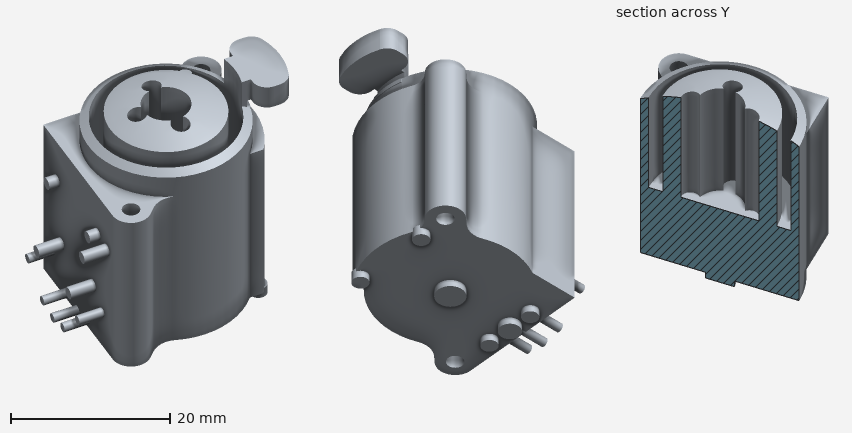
import cadquery as cq
import math


body_height = 24.0
body_radius = 10.9
front_y = -12.5
left_x = -9.5
back_radius = 12.4
back_flat_x = 7.16
ear_offset = 9.9
ear_radius = -front_y - ear_offset
ear_hole_diameter = 2.34
ear_side_fillet = 3.2
ear_back_fillet = 2.6

ring_top = 27.85
ring_inner_radius = 9.73
ring_chamfer_height = 0.65
socket_floor = 12.0
plug_radius = 7.84
plug_edge_z = 28.8
dome_radius = 22.0
key_radius = 0.75
key_distance = 7.96
key_angle = 135.0
jack_radius = 3.2
lobe_radius = 1.27
lobe_distance = 4.05
lobe_angles = (0, 180, 270)

lever_top = 31.85
tab_bottom = 28.5
tab_width = 10.0
tab_front_y = 10.68
tab_back_y = 16.09
tab_back_radius = 10.45
tab_corner_radius = 2.0
stem_width = 5.0
stem_outer_radius = 10.45
catch_outer_radius = 11.0
catch_bottom = 26.6
catch_top = ring_top - ring_chamfer_height

pin_grid = 0.635
pin_first_z = 0.5
pin_length = 3.5
post_length = 1.45
thick_pin_radius = 0.82
thin_pin_radius = 0.63
thin_pin_cells = ((-11, 7), (-4.5, 1), (0, 0), (4.5, 1), (11, 8))
thick_pin_cells = ((-7, 12), (7, 12), (13, 26))
post_cells = ((-9, 27), (9, 27))

peg_height = 1.0
peg_row_y = 10.15
small_peg_radius = 1.15
pegs = (
    (0, 0, 2.03),
    (0, -peg_row_y, 1.52),
    (-3.8, -peg_row_y, small_peg_radius),
    (3.8, -peg_row_y, small_peg_radius),
    (-5.66, peg_row_y, small_peg_radius),
    (5.66, peg_row_y, small_peg_radius),
)

overlap = 0.5


def polar(radius, degrees, center=(0, 0)):
    angle = math.radians(degrees)
    return (center[0] + radius * math.cos(angle), center[1] + radius * math.sin(angle))


def on_circle(radius, known):
    """Other coordinate of a point on a circle about the axis."""
    return math.sqrt(radius**2 - known**2)


def cylinder(radius, bottom, top, center=(0, 0)):
    return cq.Workplane("XY", origin=(*center, bottom)).circle(radius).extrude(top - bottom)


def between(start, end, fraction=0.5):
    """Point part of the way along a straight line."""
    return tuple(a + fraction * (b - a) for a, b in zip(start, end))


def toward(center, target, radius):
    """Point at a given radius from a centre, in the direction of a target."""
    return between(center, target, radius / math.dist(center, target))


def make_block():
    """Block around the barrel with two screw ears; its side notches end inside the barrel."""
    right_ear = (ear_offset, -ear_offset)
    left_ear = (-ear_offset, ear_offset)

    side_reach = math.acos((ear_radius + ear_side_fillet) / (body_radius + ear_side_fillet))
    side_angle = 45 - math.degrees(side_reach)
    side_center = polar(body_radius + ear_side_fillet, side_angle)
    flank_ear = polar(ear_radius, 45, right_ear)
    flank_fillet = polar(ear_side_fillet, 225, side_center)
    side_mid = polar(ear_side_fillet, (225 + 180 + side_angle) / 2, side_center)
    side_end = polar(body_radius, side_angle)

    ear_gap = ear_radius + ear_back_fillet
    back_gap = back_radius + ear_back_fillet
    ear_distance = ear_offset * math.sqrt(2)
    cosine = (back_gap**2 + ear_distance**2 - ear_gap**2) / (2 * back_gap * ear_distance)
    back_center = polar(back_gap, 135 - math.degrees(math.acos(cosine)))
    back_end = toward((0, 0), back_center, back_radius)
    ear_start = toward(left_ear, back_center, ear_radius)
    back_mid = toward(back_center, between(back_end, ear_start), ear_back_fillet)

    def opposite(point):
        return (-point[0], -point[1])

    outline = (
        cq.Workplane("XY")
        .moveTo(left_x, front_y)
        .lineTo(ear_offset, front_y)
        .threePointArc(polar(ear_radius, -22.5, right_ear), flank_ear)
        .lineTo(*flank_fillet)
        .threePointArc(side_mid, side_end)
        .lineTo(back_flat_x, side_end[1])
        .lineTo(back_flat_x, 0)
        .lineTo(back_flat_x, on_circle(back_radius, back_flat_x))
        .threePointArc((0, back_radius), back_end)
        .threePointArc(back_mid, ear_start)
        .threePointArc(polar(ear_radius, 135, left_ear), opposite(flank_ear))
        .lineTo(*opposite(flank_fillet))
        .threePointArc(opposite(side_mid), opposite(side_end))
        .lineTo(left_x, -side_end[1])
        .close()
    )
    ear_holes = (
        cq.Workplane("XY")
        .pushPoints([right_ear, left_ear])
        .circle(ear_hole_diameter / 2)
        .extrude(body_height)
    )
    return outline.extrude(body_height).cut(ear_holes)


def make_barrel():
    """Round barrel with a deep bore; its outer cone runs up to the edge of the bore."""
    return (
        cq.Workplane("XZ")
        .moveTo(0, 0)
        .lineTo(body_radius, 0)
        .lineTo(body_radius, ring_top - ring_chamfer_height)
        .lineTo(ring_inner_radius, ring_top)
        .lineTo(ring_inner_radius, socket_floor)
        .lineTo(0, socket_floor)
        .close()
        .revolve(360, (0, 0, 0), (0, 1, 0))
    )


def make_plug_seat():
    """Domed core with a round key on its side and a lobed jack hole."""
    dome_center_z = plug_edge_z - on_circle(dome_radius, plug_radius)
    dome_top = dome_center_z + dome_radius
    blank_top = dome_top + overlap
    bottom = socket_floor - overlap
    core = cylinder(plug_radius, bottom, blank_top)
    core = core.union(cylinder(key_radius, bottom, blank_top, polar(key_distance, key_angle)))
    dome = (
        cq.Workplane("YZ")
        .moveTo(0, bottom)
        .lineTo(ring_inner_radius, bottom)
        .lineTo(ring_inner_radius, dome_center_z + on_circle(dome_radius, ring_inner_radius))
        .threePointArc((plug_radius, plug_edge_z), (0, dome_top))
        .close()
        .revolve(360, (0, 0, 0), (0, 1, 0))
    )
    core = core.intersect(dome)

    core = core.cut(cylinder(jack_radius, socket_floor, blank_top))
    for angle in lobe_angles:
        core = core.cut(cylinder(lobe_radius, socket_floor, blank_top, polar(lobe_distance, angle)))
    return core


def arc_strip(outer_radius, bottom, top):
    """Curved strip of the stem width, from the ring bore outward, at the rear."""
    strip = cylinder(outer_radius, bottom, top).cut(cylinder(ring_inner_radius, bottom, top))
    window = cq.Workplane("XY", origin=(0, 0, bottom)).box(
        stem_width, outer_radius, top - bottom, centered=(True, False, False)
    )
    return strip.intersect(window)


def make_lever():
    tab_height = lever_top - tab_bottom
    tab_depth = tab_back_y - tab_front_y
    tab = (
        cq.Workplane("XY", origin=(0, tab_front_y, tab_bottom))
        .box(tab_width, tab_depth, tab_height, centered=(True, False, False))
        .intersect(
            cylinder(tab_back_radius, tab_bottom, lever_top, (0, tab_back_y - tab_back_radius))
        )
        .edges("|Z")
        .fillet(tab_corner_radius)
    )
    neck = arc_strip(tab_front_y + overlap, tab_bottom, lever_top)
    stem = arc_strip(stem_outer_radius, catch_bottom, lever_top)
    catch = arc_strip(catch_outer_radius, catch_bottom, catch_top)
    return tab.union(neck).union(stem).union(catch)


def make_pins(cells, radius, length):
    centers = [(column * pin_grid, pin_first_z + row * pin_grid) for column, row in cells]
    return (
        cq.Workplane("XZ", origin=(0, front_y + overlap, 0))
        .pushPoints(centers)
        .circle(radius)
        .extrude(length + overlap)
    )


def make_pegs():
    solids = cq.Workplane("XY")
    for x, y, radius in pegs:
        solids = solids.add(cylinder(radius, -peg_height, overlap, (x, y)))
    return solids.combine()


block = make_block().cut(cylinder(body_radius, 0, body_height))
result = (
    block.union(make_barrel())
    .union(make_plug_seat())
    .union(make_lever())
    .union(make_pins(thin_pin_cells, thin_pin_radius, pin_length))
    .union(make_pins(thick_pin_cells, thick_pin_radius, pin_length))
    .union(make_pins(post_cells, thick_pin_radius, post_length))
    .union(make_pegs())
)